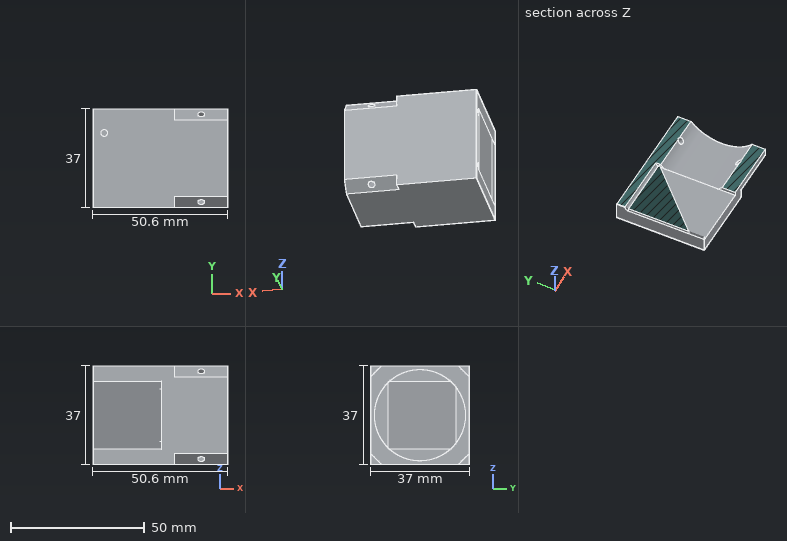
import cadquery as cq
import math

length = 50.6
width = 37.0
half_width = width / 2

plate_thickness = 0.2

window_size = 25.4
window_back_y = 13.45
window_end_x = plate_thickness + window_size

relief_diameter = 2.95
relief_z = window_size / 2 - relief_diameter / 2

bore_diameter = 34.2

chamfer_start_x = 30.55
chamfer_leg = 4.1
screw_diameter = 2.55
screw_x = (chamfer_start_x + length) / 2
chamfer_distance = (width - chamfer_leg) / math.sqrt(2)
edge_count = 4

top_hole_diameter = 2.55
top_hole_x = 4.2
top_hole_y = 9.45


def box(x_start, x_end, y_start, y_end, height):
    """Box centred on Z = 0 between the given X and Y limits."""
    return (
        cq.Workplane("XY")
        .box(x_end - x_start, y_end - y_start, height, centered=(False, False, True))
        .translate((x_start, y_start, 0))
    )


def x_cylinder(diameter, x_start, x_end, y=0, z=0):
    """Cylinder along X."""
    return (
        cq.Workplane("YZ", origin=(x_start, y, z))
        .circle(diameter / 2)
        .extrude(x_end - x_start)
    )


def chamfered_end():
    """Octagonal prism that forms the bored end of the housing."""
    return (
        box(chamfer_start_x, length, -half_width, half_width, width)
        .edges("|X")
        .chamfer(chamfer_leg)
    )


def screw_holes():
    """Radial holes from the middle of each chamfer into the bore."""
    cutter = cq.Workplane("XY", origin=(screw_x, 0, 0)).circle(screw_diameter / 2).extrude(chamfer_distance)
    holes = []
    for index in range(edge_count):
        angle = 360 / edge_count * (index + 0.5)
        holes.append(cutter.rotate((0, 0, 0), (1, 0, 0), angle))
    return holes


def make_housing():
    body = box(plate_thickness, chamfer_start_x, -half_width, half_width, width)
    body = body.union(chamfered_end())
    body = body.cut(box(plate_thickness, window_end_x, -half_width, window_back_y, window_size))
    body = body.cut(x_cylinder(bore_diameter, window_end_x, length))
    for z in (-relief_z, relief_z):
        body = body.cut(x_cylinder(relief_diameter, plate_thickness, window_end_x, window_back_y, z))
    for hole in screw_holes():
        body = body.cut(hole)
    top_hole = (
        cq.Workplane("XY", origin=(top_hole_x, top_hole_y, 0))
        .circle(top_hole_diameter / 2)
        .extrude(half_width)
    )
    return body.cut(top_hole)


def make_cover_plate():
    return box(0, plate_thickness, -half_width, half_width, width)


def make_prism():
    """Right-angle prism with its legs on the cover plate and the back wall of the window."""
    return (
        cq.Workplane("XY", origin=(0, 0, -window_size / 2))
        .moveTo(plate_thickness, window_back_y)
        .lineTo(plate_thickness, window_back_y - window_size)
        .lineTo(window_end_x, window_back_y)
        .close()
        .extrude(window_size)
    )


housing = make_housing()
cover_plate = make_cover_plate()
prism = make_prism()

result = cq.Compound.makeCompound([housing.solids().val(), cover_plate.val(), prism.val()])